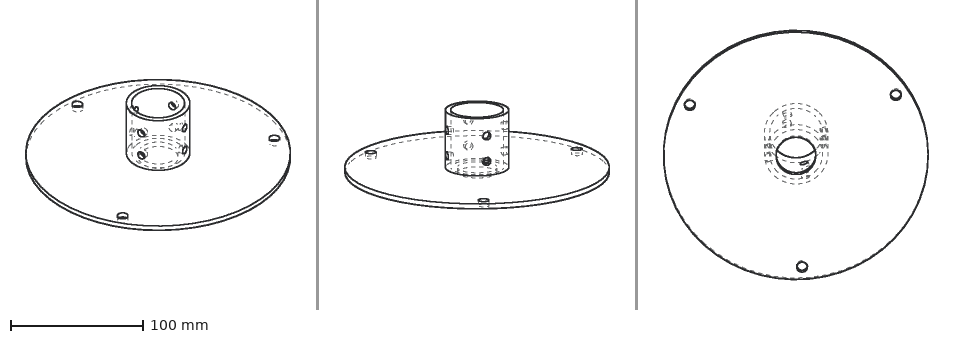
import cadquery as cq

plate_diameter = 200.0
plate_thickness = 4.0
plate_bore_diameter = 30.0

mount_hole_diameter = 8.0
mount_hole_count = 3
mount_circle_radius = 90.0
mount_start_angle = 45.0

total_height = 49.0
socket_height = total_height - plate_thickness
socket_outer_diameter = 48.0
socket_inner_diameter = 40.0

pin_hole_diameter = 6.0
lower_pin_height = 15.0
pin_row_spacing = 20.0
pin_row_heights = (lower_pin_height, lower_pin_height + pin_row_spacing)


def make_plate():
    """Disc with a central bore and a ring of mounting holes."""
    return (
        cq.Workplane("XY")
        .circle(plate_diameter / 2)
        .circle(plate_bore_diameter / 2)
        .extrude(plate_thickness)
        .faces(">Z")
        .workplane(origin=(0, 0, plate_thickness))
        .polarArray(mount_circle_radius, mount_start_angle, 360, mount_hole_count)
        .hole(mount_hole_diameter)
    )


def make_socket():
    """Plain tube rising from the top of the plate."""
    return (
        cq.Workplane("XY", origin=(0, 0, plate_thickness))
        .circle(socket_outer_diameter / 2)
        .circle(socket_inner_diameter / 2)
        .extrude(socket_height)
    )


def make_pin(plane, height):
    """Cutter crossing the whole socket along the normal of the given plane."""
    return (
        cq.Workplane(plane, origin=(0, 0, height))
        .circle(pin_hole_diameter / 2)
        .extrude(socket_outer_diameter, both=True)
    )


result = make_plate().union(make_socket())
for row_height in pin_row_heights:
    for cross_plane in ("XZ", "YZ"):
        result = result.cut(make_pin(cross_plane, row_height))